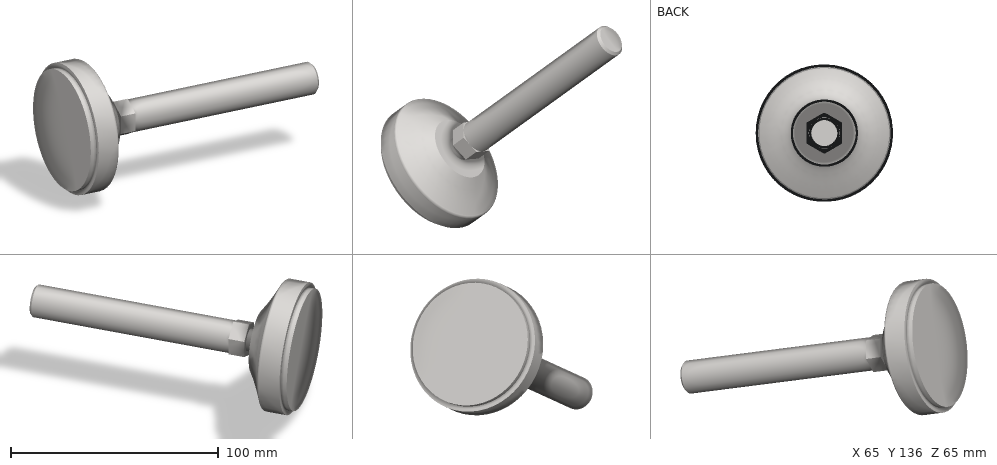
import cadquery as cq
import math

total_length = 136.0

pad_diameter = 60.0
pad_height = 3.0
foot_diameter = 65.0
rim_top = 12.8
shoulder_top = 14.3
shoulder_radius = 31.5
foot_top = 23.4
foot_top_radius = 15.6
flank_sag = 0.4

neck_diameter = 11.0
flare_diameter = 12.1
flare_top = 24.9
hex_flats = 16.0
hex_start = 27.9
hex_end = 35.8
stud_diameter = 16.0
stud_chamfer = 1.2


def make_foot():
    """Revolve the pad, rim and slightly concave flank about the Y axis."""
    foot_radius = foot_diameter / 2
    pad_radius = pad_diameter / 2

    flank_run = shoulder_radius - foot_top_radius
    flank_rise = foot_top - shoulder_top
    flank_length = math.hypot(flank_run, flank_rise)
    flank_middle = (
        (shoulder_radius + foot_top_radius) / 2 - flank_sag * flank_rise / flank_length,
        (shoulder_top + foot_top) / 2 - flank_sag * flank_run / flank_length,
    )

    shoulder_middle = (
        foot_radius - (foot_radius - shoulder_radius) * (1 - math.sqrt(0.5)),
        rim_top + (shoulder_top - rim_top) * math.sqrt(0.5),
    )

    profile = (
        cq.Workplane("XY")
        .lineTo(pad_radius, 0)
        .lineTo(pad_radius, pad_height)
        .lineTo(foot_radius, pad_height)
        .lineTo(foot_radius, rim_top)
        .threePointArc(shoulder_middle, (shoulder_radius, shoulder_top))
        .threePointArc(flank_middle, (foot_top_radius, foot_top))
        .lineTo(0, foot_top)
        .close()
    )
    return profile.revolve(360, (0, 0, 0), (0, 1, 0))


def make_neck():
    """Revolve the neck, which flares where it meets the foot."""
    profile = (
        cq.Workplane("XY")
        .moveTo(0, foot_top)
        .lineTo(flare_diameter / 2, foot_top)
        .lineTo(neck_diameter / 2, flare_top)
        .lineTo(neck_diameter / 2, hex_start)
        .lineTo(0, hex_start)
        .close()
    )
    return profile.revolve(360, (0, 0, 0), (0, 1, 0))


def make_hex():
    """Wrench hexagon with flats facing +X and -X."""
    corner_diameter = hex_flats / math.cos(math.pi / 6)
    return (
        cq.Workplane("XZ", origin=(0, hex_start, 0))
        .transformed(rotate=(0, 0, 90))
        .polygon(6, corner_diameter)
        .extrude(hex_start - hex_end)
    )


def make_stud():
    """Plain stud with a chamfered free end."""
    return (
        cq.Workplane("XZ", origin=(0, hex_end, 0))
        .circle(stud_diameter / 2)
        .extrude(hex_end - total_length)
        .faces(">Y")
        .chamfer(stud_chamfer)
    )


result = make_foot().union(make_neck()).union(make_hex()).union(make_stud())